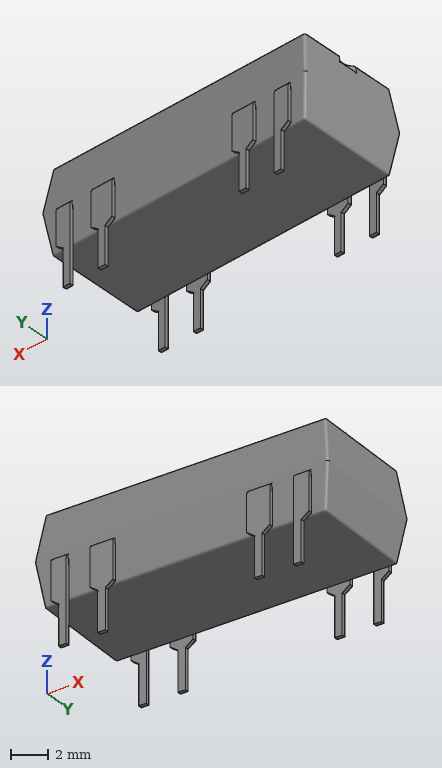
import cadquery as cq
import math


body_length = 19.05
body_width = 7.62
body_top = 3.0
body_depth = 2.84
draft_angle = 8.0
edge_radius = 0.15

notch_radius = 0.76
notch_depth = 0.5

lead_span = 7.87
lead_thickness = 0.25
bend_radius = 0.36
lead_top = -0.15
lead_tip = -5.85
stem_width = 0.5
shoulder_width = 1.5
shoulder_end = -2.85
taper_end = -3.22
inner_lead_x = 5.09
outer_lead_x = 7.62

stem_half = stem_width / 2
shoulder_half = shoulder_width / 2
row_y = lead_span / 2


def housing_half(height):
    """Drafted, rounded block that stands on the parting plane."""
    block = cq.Workplane("XY").rect(body_length, body_width).extrude(height, taper=draft_angle)
    return block.edges("not <Z").fillet(edge_radius)


def make_housing(leads):
    lower = housing_half(body_depth).mirror("XY")
    body = housing_half(body_top).union(lower)

    notch = (
        cq.Workplane("XY", origin=(-body_length / 2, 0, body_top - notch_depth))
        .circle(notch_radius)
        .extrude(notch_depth)
    )
    body = body.cut(notch)

    for lead in leads:
        body = body.cut(lead)
    return body


def lead_strip():
    """Full-width strip of the front row, bent inwards at its top, centred on X = 0."""
    outer_y = -row_y
    inner_y = outer_y + lead_thickness
    bend_y = outer_y + bend_radius
    bend_z = lead_top - bend_radius
    inner_radius = bend_radius - lead_thickness
    diagonal = math.sqrt(0.5)
    return (
        cq.Workplane("YZ")
        .moveTo(outer_y, lead_tip)
        .lineTo(outer_y, bend_z)
        .threePointArc(
            (bend_y - bend_radius * diagonal, bend_z + bend_radius * diagonal),
            (bend_y, lead_top),
        )
        .lineTo(bend_y, lead_top - lead_thickness)
        .threePointArc(
            (bend_y - inner_radius * diagonal, bend_z + inner_radius * diagonal),
            (inner_y, bend_z),
        )
        .lineTo(inner_y, lead_tip)
        .close()
        .extrude(shoulder_half, both=True)
    )


def make_lead(right_half):
    """Front-row lead on the left side; right_half is how far its shoulder reaches right of the stem axis."""
    outline = (
        cq.Workplane("XZ")
        .moveTo(-stem_half, lead_tip)
        .lineTo(-stem_half, taper_end)
        .lineTo(-shoulder_half, shoulder_end)
        .lineTo(-shoulder_half, lead_top)
        .lineTo(right_half, lead_top)
    )
    if right_half > stem_half:
        outline = outline.lineTo(right_half, shoulder_end)
    outline = outline.lineTo(stem_half, taper_end).lineTo(stem_half, lead_tip).close()
    return lead_strip().intersect(outline.extrude(row_y))


inner_lead = make_lead(shoulder_half)
outer_lead = make_lead(stem_half)

leads = []
for front_lead in (
    outer_lead.translate((-outer_lead_x, 0, 0)),
    inner_lead.translate((-inner_lead_x, 0, 0)),
):
    front_pair = [front_lead, front_lead.mirror("YZ")]
    leads += front_pair
    leads += [lead.mirror("XZ") for lead in front_pair]

housing = make_housing(leads)

result = cq.Compound.makeCompound([housing.val(), *[lead.val() for lead in leads]])